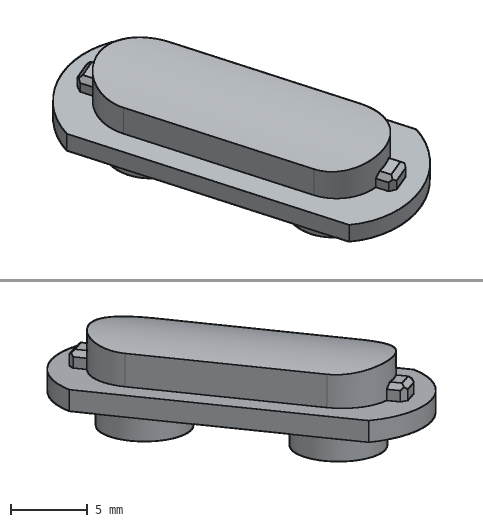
import cadquery as cq

plate_length = 25.95
plate_width = 10.2
plate_thickness = 1.5
plate_flat_length = 20.4

cap_length = 20.75
cap_width = 7.0
cap_height = 2.75
crown_rise = 0.45

foot_diameter = 6.4
foot_height = 2.34
foot_spacing = 13.2

tab_span = 23.07
tab_width = 2.15
tab_height = 1.17
tab_chamfer = 0.4


def make_plate():
    """Plate with two straight sides and shallow arcs at the ends."""
    half_flat = plate_flat_length / 2
    half_length = plate_length / 2
    half_width = plate_width / 2
    return (
        cq.Workplane("XY")
        .moveTo(-half_flat, -half_width)
        .lineTo(half_flat, -half_width)
        .threePointArc((half_length, 0), (half_flat, half_width))
        .lineTo(-half_flat, half_width)
        .threePointArc((-half_length, 0), (-half_flat, -half_width))
        .close()
        .extrude(-plate_thickness)
    )


def make_cap():
    """Round-ended block whose top is arched across its width."""
    half_width = cap_width / 2
    side_height = cap_height - crown_rise
    arched_bar = (
        cq.Workplane("YZ")
        .moveTo(-half_width, 0)
        .lineTo(half_width, 0)
        .lineTo(half_width, side_height)
        .threePointArc((0, cap_height), (-half_width, side_height))
        .close()
        .extrude(cap_length / 2, both=True)
    )
    rounded_block = cq.Workplane("XY").slot2D(cap_length, cap_width).extrude(cap_height)
    return rounded_block.intersect(arched_bar)


def make_tabs():
    """One bar passing through the cap, with mitred chamfers, so that a tab shows at each end."""
    block = cq.Workplane("XY").box(tab_span, tab_width, tab_height, centered=(True, True, False))
    bar = block
    for chamfered_edges in ("|Z", "|X and >Z", "|Y and >Z"):
        bar = bar.intersect(block.edges(chamfered_edges).chamfer(tab_chamfer))
    return bar


def make_feet():
    """Two round feet below the plate."""
    half_spacing = foot_spacing / 2
    return (
        cq.Workplane("XY")
        .workplane(offset=-plate_thickness)
        .pushPoints([(-half_spacing, 0), (half_spacing, 0)])
        .circle(foot_diameter / 2)
        .extrude(-foot_height)
    )


result = make_plate().union(make_cap()).union(make_tabs()).union(make_feet())